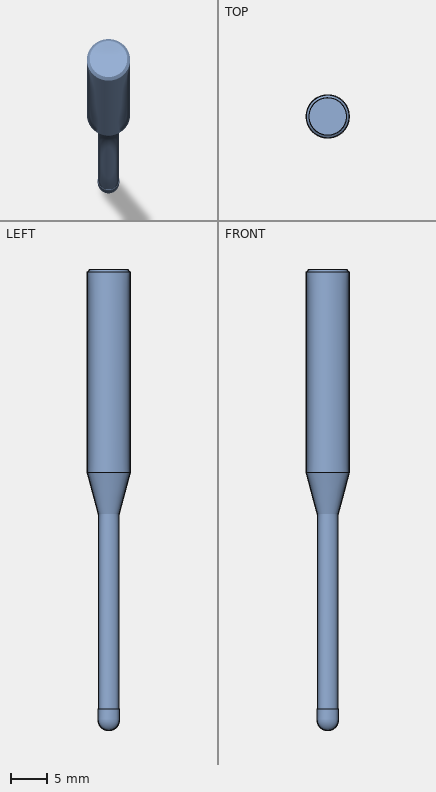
import cadquery as cq
import math

overall_length = 64.0
shank_diameter = 6.0
shank_chamfer = 0.4
cutter_diameter = 3.0
cutter_length = 3.0
neck_diameter = 2.9
neck_end_height = 30.0
taper_half_angle = 15.0

shank_radius = shank_diameter / 2
cutter_radius = cutter_diameter / 2
neck_radius = neck_diameter / 2
taper_length = (shank_radius - neck_radius) / math.tan(math.radians(taper_half_angle))
shank_start_height = neck_end_height + taper_length


def make_cutter():
    """Cutting head: a short cylinder ending in a hemisphere at the tip."""
    half_quadrant = math.pi / 4
    arc_middle_radius = cutter_radius * math.sin(half_quadrant)
    arc_middle_height = cutter_radius * (1 - math.cos(half_quadrant))
    profile = (
        cq.Workplane("XZ")
        .moveTo(0, 0)
        .threePointArc((arc_middle_radius, arc_middle_height), (cutter_radius, cutter_radius))
        .lineTo(cutter_radius, cutter_length)
        .lineTo(0, cutter_length)
        .close()
    )
    return profile.revolve(360, (0, 0, 0), (0, 1, 0))


def make_neck():
    """Relieved neck: a slim cylinder that widens in a cone to the shank diameter."""
    profile = (
        cq.Workplane("XZ")
        .moveTo(0, cutter_length)
        .lineTo(neck_radius, cutter_length)
        .lineTo(neck_radius, neck_end_height)
        .lineTo(shank_radius, shank_start_height)
        .lineTo(0, shank_start_height)
        .close()
    )
    return profile.revolve(360, (0, 0, 0), (0, 1, 0))


def make_shank():
    """Cylindrical clamping shank, chamfered at its top end."""
    shank_length = overall_length - shank_start_height
    return (
        cq.Workplane("XY", origin=(0, 0, shank_start_height))
        .circle(shank_radius)
        .extrude(shank_length)
        .faces(">Z")
        .chamfer(shank_chamfer)
    )


cutter = make_cutter()
neck = make_neck()
shank = make_shank()

result = cq.Compound.makeCompound([cutter.val(), neck.val(), shank.val()])